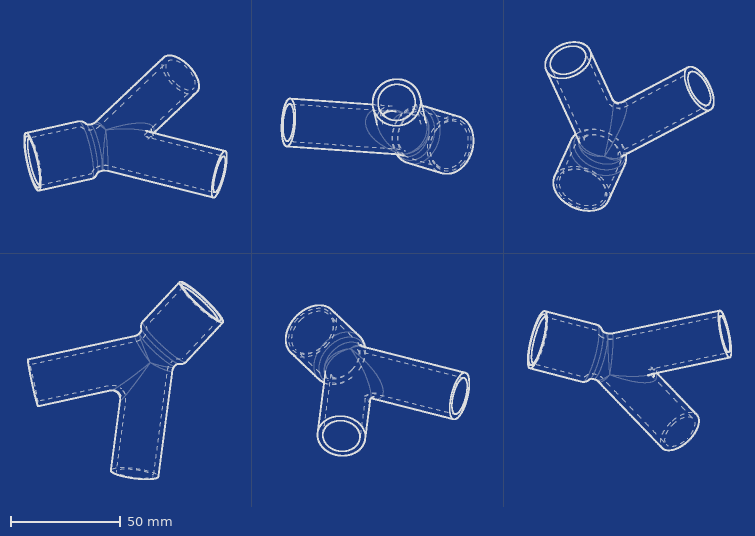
import cadquery as cq
import math

wall = 2.5
branch_diameter = 22.1
branch_length = 55.0
branch_angle = 35.0
socket_diameter = 27.2
socket_end = -35.0
neck_start = -5.0
shoulder_radius = 3.0
junction_radius = 4.0
mouth_chamfer = 1.0

half_step = (socket_diameter - branch_diameter) / 4
shoulder_turn = math.acos(1 - half_step / shoulder_radius)
shoulder_start = neck_start - 2 * shoulder_radius * math.sin(shoulder_turn)


def arc_point(center_y, center_r, radius, turn):
    """Point (radius, y) of a shoulder arc; turn is measured from the outward radial direction."""
    return (center_r + radius * math.cos(turn), center_y + radius * math.sin(turn))


def stem(inset):
    """Socket, shoulder and neck as a solid of revolution, shrunk by inset."""
    socket_r = socket_diameter / 2 - inset
    neck_r = branch_diameter / 2 - inset
    convex_r = shoulder_radius - inset
    concave_r = shoulder_radius + inset
    convex_center_r = socket_r - convex_r
    concave_center_r = neck_r + concave_r

    return (
        cq.Workplane("XY")
        .moveTo(0, socket_end)
        .lineTo(socket_r, socket_end)
        .lineTo(socket_r, shoulder_start)
        .threePointArc(
            arc_point(shoulder_start, convex_center_r, convex_r, shoulder_turn / 2),
            arc_point(shoulder_start, convex_center_r, convex_r, shoulder_turn),
        )
        .threePointArc(
            arc_point(neck_start, concave_center_r, -concave_r, shoulder_turn / 2),
            (neck_r, neck_start),
        )
        .lineTo(neck_r, 0)
        .lineTo(0, 0)
        .close()
        .revolve(360, (0, 0, 0), (0, 1, 0))
    )


def right_branch(inset):
    """Cylinder from the origin along the branch axis on the +X side."""
    angle = math.radians(branch_angle)
    direction = cq.Vector(math.sin(angle), math.cos(angle), 0)
    radius = branch_diameter / 2 - inset
    return cq.Workplane(cq.Solid.makeCylinder(radius, branch_length, cq.Vector(0, 0, 0), direction))


def fitting_shape(inset):
    """Stem and both branches with their junctions rounded, shrunk by inset.

    The three pipes have equal diameters, so they meet along elliptical edges.
    """
    branch = right_branch(inset)
    sharp_shape = stem(inset).union(branch).union(branch.mirror("YZ"))
    junction_edges = [edge for edge in sharp_shape.edges().vals() if edge.geomType() == "ELLIPSE"]
    return sharp_shape.newObject(junction_edges).fillet(junction_radius + inset)


def rim_bevel():
    """Cone that bevels the inner rim of the socket mouth."""
    bore_r = socket_diameter / 2 - wall
    return cq.Workplane(
        cq.Solid.makeCone(
            bore_r + mouth_chamfer,
            bore_r,
            mouth_chamfer,
            cq.Vector(0, socket_end, 0),
            cq.Vector(0, 1, 0),
        )
    )


result = fitting_shape(0).cut(fitting_shape(wall)).cut(rim_bevel()).solids()